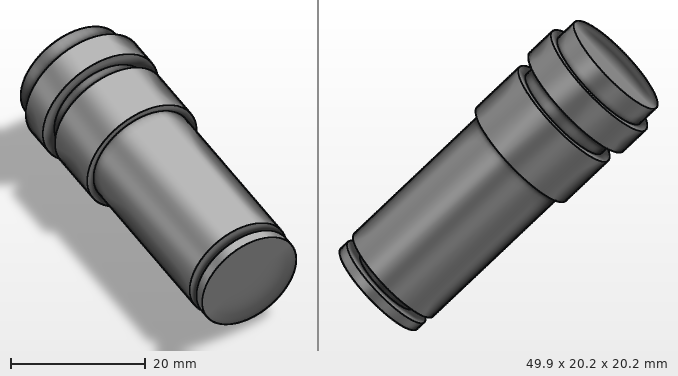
import cadquery as cq

end_face_diameter = 17.6
collar_diameter = 20.2
groove_diameter = 16.2
shoulder_diameter = 19.2
body_diameter = 17.0
neck_diameter = 11.1
release_ring_diameter = 16.5

overall_length = 49.9
end_face_length = 3.5
collar_length = 4.8
groove_length = 2.6
shoulder_length = 9.0
neck_length = 1.5
release_ring_length = 1.6
body_length = overall_length - (
    end_face_length + collar_length + groove_length
    + shoulder_length + neck_length + release_ring_length
)

steps = [
    (end_face_diameter, end_face_length),
    (collar_diameter, collar_length),
    (groove_diameter, groove_length),
    (shoulder_diameter, shoulder_length),
    (body_diameter, body_length),
    (neck_diameter, neck_length),
    (release_ring_diameter, release_ring_length),
]


def turned_part(step_list):
    """Stack coaxial cylinders end to end along +X as one solid."""
    part = cq.Workplane("YZ")
    start = 0.0
    for diameter, length in step_list:
        part = part.union(
            cq.Workplane("YZ", origin=(start, 0, 0)).circle(diameter / 2).extrude(length)
        )
        start += length
    return part


result = turned_part(steps)